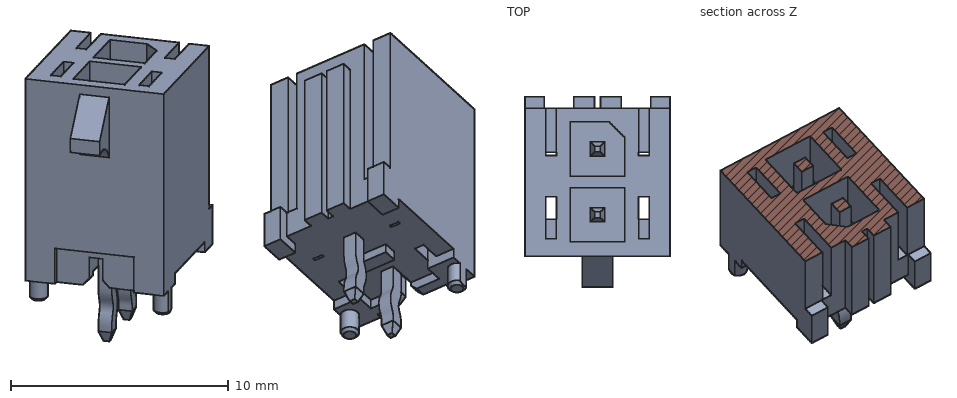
import cadquery as cq
import math


WIDTH = 6.7
DEPTH = 6.83
HEIGHT = 9.89

PITCH = 3.03
FRONT_ROW_Y = 1.91
ROWS_MID_Y = FRONT_ROW_Y + PITCH / 2
ROWS_Y = (FRONT_ROW_Y, FRONT_ROW_Y + PITCH)
CAVITY_SIZE = 2.49
CAVITY_FLOOR_Z = 2.36
KEY_CHAMFER = 0.71

PIN_SIZE = 0.65
PIN_TIP_SIZE = 0.28
PIN_TIP_LENGTH = 0.52
PIN_TOP_Z = 7.2
PIN_BOTTOM_Z = -3.21

KINK_TOP_Z = -0.6
KINK_BOTTOM_Z = -2.4
KINK_RADIUS = 1.02
KINK_ANGLE = math.radians(22)

CLEARANCE_Z = 0.51
FRONT_FOOT_DEPTH = 1.72
REAR_FOOT_START_Y = 6.15
STANDOFF_DEPTH = 0.7
STANDOFF_WIDTH = 1.96
STANDOFF_Z = 0.04

RECESS_WIDTH = 3.83
RECESS_HEIGHT = 1.74
RECESS_DEPTH = 0.26
WEB_BACK_Y = 0.8
PIN_SLOT_HEIGHT = 1.39
PIN_SLOT_CHAMFER = 0.33

SLOT_WIDTH = 0.48
SLOT_X = 2.14
SLOT_FRONT_Y = (0.81, 2.74)
SLOT_REAR_START_Y = 4.65
SLOT_REAR_OPENING = 0.13
SLOT_FLOOR_Z = 1.91

RAIL_DEPTH = 0.52
TAB_WIDTH = 0.9
TAB_TOP_Z = SLOT_FLOOR_Z
RIB_WIDTH = 0.95
RIB_GAP = 0.28
RIB_TOP_Z = 8.75

LATCH_WIDTH = 1.41
LATCH_REACH = 1.41
LATCH_TOP_Z = 9.43
LATCH_LIP_TOP_Z = 7.75
LATCH_LIP_BOTTOM_Z = 7.07
LATCH_ROOT_Z = 6.48
LATCH_CREST_Y = -1.0
LATCH_CREST_Z = 7.17

PEG_RADIUS = 0.43
PEG_X = 3.0
PEG_Y = 0.93
PEG_LENGTH = 1.17
PEG_CHAMFER = 0.15


def block(x_range, y_range, z_range):
    """Axis-aligned box between the given limits."""
    (x0, x1), (y0, y1), (z0, z1) = x_range, y_range, z_range
    return cq.Workplane("XY").box(x1 - x0, y1 - y0, z1 - z0, centered=False).translate((x0, y0, z0))


def centred_block(width, y_range, z_range, x=0):
    """Box centred on the given X."""
    return block((x - width / 2, x + width / 2), y_range, z_range)


def rear_rails():
    """Corner tabs and centre ribs standing on the rear face."""
    rail_y = (DEPTH, DEPTH + RAIL_DEPTH)
    rails = cq.Workplane("XY")
    for side in (-1, 1):
        tab_x = side * (WIDTH - TAB_WIDTH) / 2
        rib_x = side * (RIB_GAP + RIB_WIDTH) / 2
        rails = rails.add(centred_block(TAB_WIDTH, rail_y, (0, TAB_TOP_Z), tab_x))
        rails = rails.add(centred_block(RIB_WIDTH, rail_y, (CLEARANCE_Z, RIB_TOP_Z), rib_x))
    return rails.combine()


def latch():
    """Ramp with an undercut hook below its lip."""
    profile = (
        cq.Workplane("YZ")
        .moveTo(0, LATCH_TOP_Z)
        .lineTo(-LATCH_REACH, LATCH_LIP_TOP_Z)
        .lineTo(-LATCH_REACH, LATCH_LIP_BOTTOM_Z)
        .threePointArc((LATCH_CREST_Y, LATCH_CREST_Z), (0, LATCH_ROOT_Z))
        .close()
    )
    return profile.extrude(LATCH_WIDTH / 2, both=True)


def cavity(row_y, keyed):
    """Square well around one pin; the keyed one has a cut corner."""
    half = CAVITY_SIZE / 2
    well = centred_block(CAVITY_SIZE, (row_y - half, row_y + half), (CAVITY_FLOOR_Z, HEIGHT))
    if keyed:
        well = well.edges("|Z and >X and >Y").chamfer(KEY_CHAMFER)
    return well


def side_slots(x):
    """Front and rear slots on one side, each with an opening through to the underside."""
    front_end = max(SLOT_FRONT_Y)
    rear_opening_end = SLOT_REAR_START_Y + SLOT_REAR_OPENING
    pocket_z = (SLOT_FLOOR_Z, HEIGHT)
    return (
        centred_block(SLOT_WIDTH, SLOT_FRONT_Y, pocket_z, x)
        .union(centred_block(SLOT_WIDTH, (FRONT_FOOT_DEPTH, front_end), (0, HEIGHT), x))
        .union(centred_block(SLOT_WIDTH, (SLOT_REAR_START_Y, DEPTH), pocket_z, x))
        .union(centred_block(SLOT_WIDTH, (SLOT_REAR_START_Y, rear_opening_end), (0, HEIGHT), x))
    )


def underside_clearance():
    """Raised area between the corner feet, reaching forward to the web behind the front recess."""
    between_feet = centred_block(WIDTH, (FRONT_FOOT_DEPTH, REAR_FOOT_START_Y), (0, CLEARANCE_Z))
    behind_web = centred_block(RECESS_WIDTH, (WEB_BACK_Y, FRONT_FOOT_DEPTH), (0, CLEARANCE_Z))
    between_rear_feet = centred_block(
        WIDTH - 2 * TAB_WIDTH, (REAR_FOOT_START_Y, DEPTH), (0, CLEARANCE_Z)
    )
    return between_feet.union(behind_web).union(between_rear_feet)


def front_recess():
    """Shallow recess in the front face and the flared pin slot behind it."""
    recess = centred_block(RECESS_WIDTH, (0, RECESS_DEPTH), (0, RECESS_HEIGHT))
    half = PIN_SIZE / 2
    pin_front_y = FRONT_ROW_Y - half
    slot = (
        cq.Workplane("XZ")
        .moveTo(-half - PIN_SLOT_CHAMFER, 0)
        .lineTo(-half, PIN_SLOT_CHAMFER)
        .lineTo(-half, PIN_SLOT_HEIGHT)
        .lineTo(half, PIN_SLOT_HEIGHT)
        .lineTo(half, PIN_SLOT_CHAMFER)
        .lineTo(half + PIN_SLOT_CHAMFER, 0)
        .close()
        .extrude(-pin_front_y)
    )
    return recess.union(slot)


def peg(side):
    """Chamfered locating peg, flattened where it meets the housing side."""
    round_peg = (
        cq.Workplane("XY")
        .center(side * PEG_X, PEG_Y)
        .circle(PEG_RADIUS)
        .extrude(-PEG_LENGTH)
        .faces("<Z")
        .chamfer(PEG_CHAMFER)
    )
    return round_peg.intersect(centred_block(WIDTH, (0, DEPTH), (-PEG_LENGTH, 0)))


def pin_tip(y, base_z, direction):
    """Tapered end of a pin, pointing up (1) or down (-1)."""
    taper = math.degrees(math.atan((PIN_SIZE - PIN_TIP_SIZE) / 2 / PIN_TIP_LENGTH))
    return (
        cq.Workplane("XY", origin=(0, y, base_z))
        .rect(PIN_SIZE, PIN_SIZE)
        .extrude(direction * PIN_TIP_LENGTH, taper=taper)
    )


def pin(y, kink_direction):
    """Square pin whose tail bends sideways in Y and back again."""
    shaft_top_z = PIN_TOP_Z - PIN_TIP_LENGTH
    shaft_bottom_z = PIN_BOTTOM_Z + PIN_TIP_LENGTH

    arc_drop = KINK_RADIUS * math.sin(KINK_ANGLE)
    arc_shift = KINK_RADIUS * (1 - math.cos(KINK_ANGLE))
    kink_height = KINK_TOP_Z - KINK_BOTTOM_Z
    slope_drop = kink_height / 2 - 2 * arc_drop
    slope_shift = slope_drop * math.tan(KINK_ANGLE)
    near_y = y + kink_direction * arc_shift
    far_y = near_y + kink_direction * slope_shift

    path = (
        cq.Workplane("YZ")
        .moveTo(y, shaft_top_z)
        .lineTo(y, KINK_TOP_Z)
        .tangentArcPoint((near_y, KINK_TOP_Z - arc_drop), relative=False)
        .lineTo(far_y, KINK_TOP_Z - arc_drop - slope_drop)
        .tangentArcPoint((far_y, KINK_BOTTOM_Z + arc_drop + slope_drop), relative=False)
        .lineTo(near_y, KINK_BOTTOM_Z + arc_drop)
        .tangentArcPoint((y, KINK_BOTTOM_Z), relative=False)
        .lineTo(y, shaft_bottom_z)
    )
    shaft = cq.Workplane("XY", origin=(0, y, shaft_top_z)).rect(PIN_SIZE, PIN_SIZE).sweep(path)
    return shaft.union(pin_tip(y, shaft_top_z, 1)).union(pin_tip(y, shaft_bottom_z, -1))


housing = centred_block(WIDTH, (0, DEPTH), (0, HEIGHT))
housing = housing.union(rear_rails()).union(latch())

for row_y in ROWS_Y:
    housing = housing.cut(cavity(row_y, keyed=row_y == max(ROWS_Y)))
for slot_x in (-SLOT_X, SLOT_X):
    housing = housing.cut(side_slots(slot_x))
housing = housing.cut(underside_clearance()).cut(front_recess())

standoff_half = STANDOFF_DEPTH / 2
standoff_y = (ROWS_MID_Y - standoff_half, ROWS_MID_Y + standoff_half)
housing = housing.union(centred_block(STANDOFF_WIDTH, standoff_y, (STANDOFF_Z, CLEARANCE_Z)))
for peg_side in (-1, 1):
    housing = housing.union(peg(peg_side))

result = housing
for row_y in ROWS_Y:
    kink_direction = 1 if row_y < ROWS_MID_Y else -1
    result = result.union(pin(row_y, kink_direction))